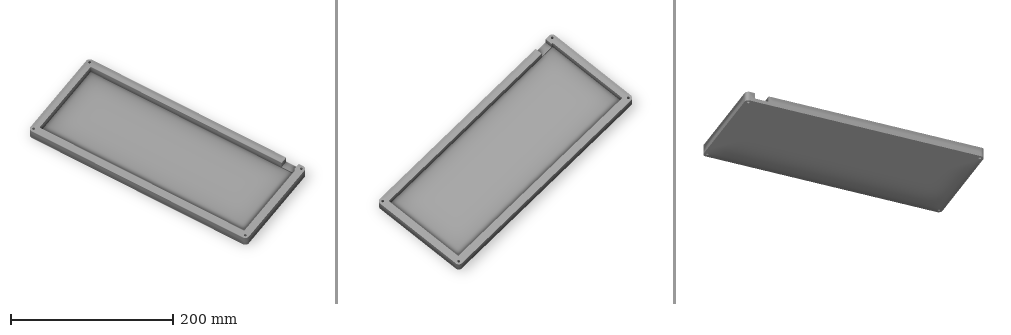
import cadquery as cq

length = 321.0
width = 136.0
height = 13.0
corner_radius = 5.0

end_wall = 10.0
side_wall = 10.3
pocket_depth = 10.0

notch_width = 18.3
notch_end_offset = 12.0
notch_step = 2.0
notch_depth = pocket_depth - notch_step

hole_diameter = 3.5
hole_inset = 4.8


def make_block():
    block = cq.Workplane("XY").box(length, width, height, centered=(True, True, False))
    return block.edges("|Z").fillet(corner_radius)


def cut_pocket(body):
    pocket = body.faces(">Z").workplane(origin=(0, 0, height))
    return pocket.rect(length - 2 * end_wall, width - 2 * side_wall).cutBlind(-pocket_depth)


def cut_notch(body):
    notch = cq.Workplane("XY").box(notch_width, side_wall, notch_depth, centered=False)
    notch_left = length / 2 - notch_end_offset - notch_width
    return body.cut(notch.translate((notch_left, width / 2 - side_wall, height - notch_depth)))


def cut_corner_holes(body):
    holes = (
        cq.Workplane("XY")
        .rect(length - 2 * hole_inset, width - 2 * hole_inset, forConstruction=True)
        .vertices()
        .circle(hole_diameter / 2)
        .extrude(height)
    )
    return body.cut(holes)


result = cut_corner_holes(cut_notch(cut_pocket(make_block())))